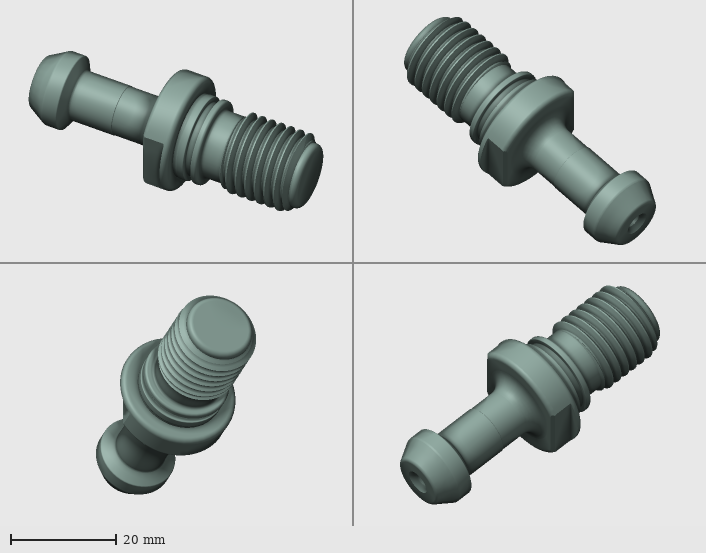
import cadquery as cq
import math

LENGTH = 57.0

HEAD_R = 7.5
HEAD_CONE_LENGTH = 4.0
HEAD_CONE_ANGLE = 30.0
HEAD_BACK_X = 7.0
HEAD_BACK_ANGLE = 60.0
HEAD_ROUND = 0.8
HEAD_BACK_ROUND = 0.3
NECK_ROUND = 0.4

NECK_HEAD_R = 5.0
NECK_FLANGE_R = 4.9
NECK_STEP_X = 17.4
NECK_FILLET = 3.0

FLANGE_R = 11.5
FLANGE_X = 26.0
FLANGE_WIDTH = 6.0
FLANGE_ROUND = 1.0
FLATS_ACROSS = 19.0
FLATS_LENGTH = 4.7
FLAT_FILLET = 0.2
FLAT_CHAMFER = 0.6

RELIEF_R = 8.4
RELIEF_LENGTH = 0.5
COLLAR_R = 8.5
COLLAR_LEAD = 0.3
COLLAR_LENGTH = 5.0
GROOVE_R = 7.4
GROOVE_OFFSET = 2.2
GROOVE_WIDTH = 1.5
GROOVE_FILLET = 0.15
COLLAR_FILLET = 0.5

SHANK_R = 6.75
THREAD_START_X = 41.0
THREAD_END_X = 55.5
THREAD_R = 8.0
PITCH = 2.0
THREAD_ROOT_R = 6.77
THREAD_HALF_ANGLE = 30.0
CREST_WIDTH = PITCH / 8
START_CHAMFER_LENGTH = 1.0
END_CHAMFER_LENGTH = 1.05
RIDGE_OVERLAP = 0.1
EXTRA_TURNS = 2
RIDGE_BOTTOM_X = 41.5
END_R = 6.5
END_ROUND = 1.0

HOLE_R = 1.5
COUNTERSINK_R = 2.5
COUNTERSINK_ANGLE = 90.0
HOLE_DEPTH = 4.0
DRILL_POINT_ANGLE = 118.0

EDGE_TOL = 0.01


def tan_deg(angle):
    return math.tan(math.radians(angle))


def revolve_about_x(outline):
    """Close an (x, radius) outline and turn it into a solid about the X axis."""
    return outline.close().revolve(360, (0, 0, 0), (1, 0, 0))


def at(x, radius):
    """Selector for the circular edges at position x, up to and including the given radius."""
    return cq.selectors.BoxSelector(
        (x - EDGE_TOL, -radius - EDGE_TOL, -radius - EDGE_TOL),
        (x + EDGE_TOL, radius + EDGE_TOL, radius + EDGE_TOL),
        boundingbox=True,
    )


def make_head_and_neck():
    face_r = HEAD_R - HEAD_CONE_LENGTH * tan_deg(HEAD_CONE_ANGLE)
    back_end_x = HEAD_BACK_X + (HEAD_R - NECK_HEAD_R) / tan_deg(HEAD_BACK_ANGLE)
    fillet_start_x = FLANGE_X - NECK_FILLET
    fillet_r = NECK_FLANGE_R + NECK_FILLET
    fillet_mid = (
        fillet_start_x + NECK_FILLET * math.sin(math.pi / 4),
        fillet_r - NECK_FILLET * math.cos(math.pi / 4),
    )
    outline = (
        cq.Workplane("XY")
        .lineTo(0, face_r)
        .lineTo(HEAD_CONE_LENGTH, HEAD_R)
        .lineTo(HEAD_BACK_X, HEAD_R)
        .lineTo(back_end_x, NECK_HEAD_R)
        .lineTo(NECK_STEP_X, NECK_HEAD_R)
        .lineTo(NECK_STEP_X + NECK_HEAD_R - NECK_FLANGE_R, NECK_FLANGE_R)
        .lineTo(fillet_start_x, NECK_FLANGE_R)
        .threePointArc(fillet_mid, (FLANGE_X, fillet_r))
        .lineTo(FLANGE_X, 0)
    )
    body = revolve_about_x(outline)
    body = body.edges(at(0, face_r)).fillet(HEAD_ROUND)
    body = body.edges(at(HEAD_CONE_LENGTH, HEAD_R)).fillet(HEAD_ROUND)
    body = body.edges(at(HEAD_BACK_X, HEAD_R)).fillet(HEAD_BACK_ROUND)
    return body.edges(at(back_end_x, NECK_HEAD_R)).fillet(NECK_ROUND)


def make_flange():
    flange = cq.Workplane("YZ", origin=(FLANGE_X, 0, 0)).circle(FLANGE_R).extrude(FLANGE_WIDTH)
    flange = flange.edges().fillet(FLANGE_ROUND)
    half = FLATS_ACROSS / 2
    for side in (1, -1):
        removed = (
            cq.Workplane("XY", origin=(FLANGE_X, 0, -FLANGE_R))
            .moveTo(0, side * (half - FLAT_CHAMFER))
            .lineTo(FLAT_CHAMFER, side * half)
            .lineTo(FLATS_LENGTH - FLAT_FILLET, side * half)
            .radiusArc((FLATS_LENGTH, side * (half + FLAT_FILLET)), -side * FLAT_FILLET)
            .lineTo(FLATS_LENGTH, side * FLANGE_R)
            .lineTo(0, side * FLANGE_R)
            .close()
            .extrude(2 * FLANGE_R)
        )
        flange = flange.cut(removed)
    return flange


def make_collar_and_shank():
    relief_x = FLANGE_X + FLANGE_WIDTH
    lead_x = relief_x + RELIEF_LENGTH
    groove_x = relief_x + GROOVE_OFFSET
    groove_end_x = groove_x + GROOVE_WIDTH
    collar_end_x = relief_x + COLLAR_LENGTH
    outline = (
        cq.Workplane("XY")
        .moveTo(relief_x, 0)
        .lineTo(relief_x, RELIEF_R)
        .lineTo(lead_x, RELIEF_R)
        .lineTo(lead_x + COLLAR_LEAD, COLLAR_R)
        .lineTo(groove_x, COLLAR_R)
        .lineTo(groove_x, GROOVE_R)
        .lineTo(groove_end_x, GROOVE_R)
        .lineTo(groove_end_x, COLLAR_R)
        .lineTo(collar_end_x, COLLAR_R)
        .lineTo(collar_end_x, SHANK_R)
        .lineTo(THREAD_START_X, SHANK_R)
        .lineTo(THREAD_START_X, 0)
    )
    body = revolve_about_x(outline)
    for x in (groove_x, groove_end_x):
        body = body.edges(at(x, COLLAR_R)).fillet(GROOVE_FILLET)
    return body.edges(at(collar_end_x, COLLAR_R)).fillet(COLLAR_FILLET)


def make_untrimmed_thread():
    """A helical ridge on a root cylinder, running past both ends."""
    crest_half = CREST_WIDTH / 2
    foot_r = THREAD_ROOT_R - RIDGE_OVERLAP
    foot_half = crest_half + (THREAD_R - foot_r) * tan_deg(THREAD_HALF_ANGLE)
    turns = math.ceil((THREAD_END_X - THREAD_START_X) / PITCH) + EXTRA_TURNS
    helix = cq.Wire.makeHelix(PITCH, turns * PITCH, THREAD_R)
    ridge = (
        cq.Workplane("XZ")
        .moveTo(foot_r, -foot_half)
        .lineTo(THREAD_R, -crest_half)
        .lineTo(THREAD_R, crest_half)
        .lineTo(foot_r, foot_half)
        .close()
        .sweep(cq.Workplane(obj=helix), isFrenet=True)
    )
    core_length = (turns + EXTRA_TURNS) * PITCH
    core = cq.Workplane("XY").workplane(offset=-PITCH).circle(THREAD_ROOT_R).extrude(core_length)
    thread = core.union(ridge).rotate((0, 0, 0), (0, 1, 0), 90)
    return thread.translate((RIDGE_BOTTOM_X - PITCH, 0, 0))


def make_thread():
    envelope = (
        cq.Workplane("XY")
        .moveTo(THREAD_START_X, 0)
        .lineTo(THREAD_START_X, SHANK_R)
        .lineTo(THREAD_START_X + START_CHAMFER_LENGTH, THREAD_R)
        .lineTo(THREAD_END_X - END_CHAMFER_LENGTH, THREAD_R)
        .lineTo(THREAD_END_X, END_R)
        .lineTo(THREAD_END_X, 0)
    )
    return make_untrimmed_thread().intersect(revolve_about_x(envelope))


def make_plain_end():
    end = cq.Workplane("YZ", origin=(THREAD_END_X, 0, 0)).circle(END_R).extrude(LENGTH - THREAD_END_X)
    return end.faces(">X").edges().fillet(END_ROUND)


def make_centre_hole():
    countersink_depth = (COUNTERSINK_R - HOLE_R) / tan_deg(COUNTERSINK_ANGLE / 2)
    point_depth = HOLE_R / tan_deg(DRILL_POINT_ANGLE / 2)
    outline = (
        cq.Workplane("XY")
        .lineTo(0, COUNTERSINK_R)
        .lineTo(countersink_depth, HOLE_R)
        .lineTo(HOLE_DEPTH, HOLE_R)
        .lineTo(HOLE_DEPTH + point_depth, 0)
    )
    return revolve_about_x(outline)


result = (
    make_head_and_neck()
    .cut(make_centre_hole())
    .union(make_flange())
    .union(make_collar_and_shank())
    .union(make_thread())
    .union(make_plain_end())
)